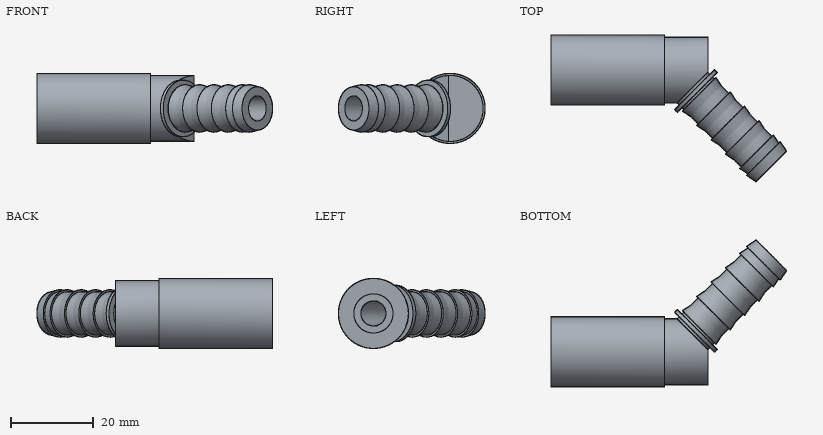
import cadquery as cq
import math

bend_angle = 45.0

socket_reach = 30.05
body_diameter = 17.0
body_length = 27.5
collar_diameter = 16.0
collar_end = 8.05
socket_bore = 9.5
socket_depth = body_length
bore = 6.05

seat = 6.0
barb_end = 33.0
neck_diameter = 10.5
flange_start = 6.7
flange_thickness = 0.95
flange_diameter = 13.7
ridge_diameter = 11.55
ridge_length = 2.45
ridge_pitch = 4.9
first_ridge = 8.3
pitched_ridge_count = 5
last_ridge_length = 2.75

overrun = 0.55

socket_axis = cq.Vector(1, 0, 0)
bend = math.radians(bend_angle)
barb_direction = cq.Vector(math.cos(bend), -math.sin(bend), 0)


def rod(direction, start, length, diameter):
    """Cylinder along a direction, starting at a distance from the crossing."""
    return cq.Workplane(cq.Solid.makeCylinder(diameter / 2, length, direction * start, direction))


def ridge(start, length):
    """Barb ridge: a sharp shoulder that tapers down to the neck."""
    return cq.Workplane(
        cq.Solid.makeCone(
            ridge_diameter / 2, neck_diameter / 2, length, barb_direction * start, barb_direction
        )
    )


def socket_body():
    """Body and slimmer collar, with the collar cut flat where the barb leaves."""
    body = rod(socket_axis, -socket_reach, body_length, body_diameter)
    collar = rod(socket_axis, -socket_reach, socket_reach + collar_end, collar_diameter)
    seat_cut = rod(barb_direction, seat, barb_end, 2 * body_diameter)
    return body.union(collar).cut(seat_cut)


def hose_barb():
    """Neck with a stop flange and a row of tapered ridges; the tip ridge cuts the row short."""
    barb = rod(barb_direction, 0, barb_end, neck_diameter)
    barb = barb.union(rod(barb_direction, flange_start, flange_thickness, flange_diameter))
    for index in range(pitched_ridge_count):
        barb = barb.union(ridge(first_ridge + index * ridge_pitch, ridge_length))
    return barb.union(ridge(barb_end - last_ridge_length, last_ridge_length))


def passage():
    """Wide socket bore, then a narrower bore mitred around the bend."""
    wide = rod(socket_axis, -socket_reach, socket_depth, socket_bore)
    outlet = barb_direction * (barb_end + overrun)
    path = cq.Workplane("XY").polyline([(-socket_reach, 0), (0, 0), (outlet.x, outlet.y)])
    narrow = (
        cq.Workplane("YZ", origin=(-socket_reach, 0, 0))
        .circle(bore / 2)
        .sweep(path, transition="right")
    )
    return wide.union(narrow)


result = socket_body().union(hose_barb()).cut(passage())